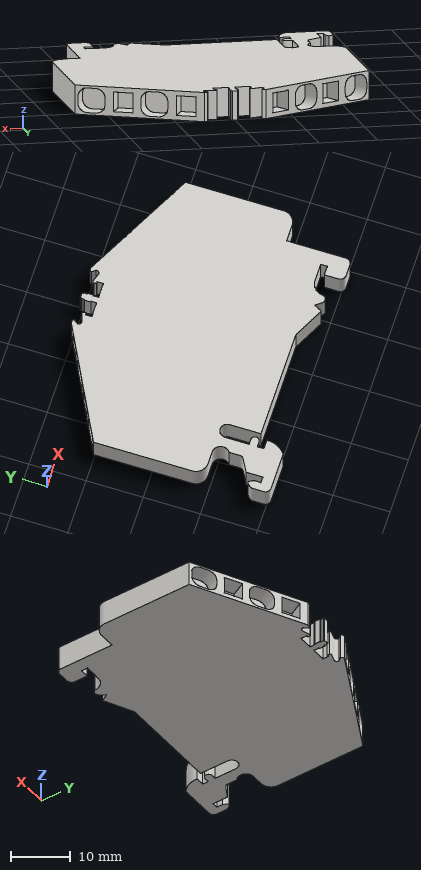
import cadquery as cq
import math

width = 50.2
height = 41.0
thickness = 5.0
half_width = width / 2

shoulder_y = 11.4
slope_start_y = 30.75
rail_y = 4.65
floor_y = 1.95

housing_radius = 2.1
crest_half_width = 5.25
overlap = 0.5

slope_dx = half_width - crest_half_width
slope_dy = height - slope_start_y
slope_length = math.hypot(slope_dx, slope_dy)

screw_size = 3.35
screw_heights = (39.55, 34.6)
wire_length = 4.65
wire_height = 4.2
wire_radius = 1.6
wire_heights = (37.05, 32.1)
opening_depth = 3.0

block_left = -15.1
block_right = 20.0
neck_right = -17.5
foot_radius = 1.0
slot_radius = (block_left - neck_right) / 2


def start(x, y):
    """Begin an outline on the lower face of the part."""
    return cq.Workplane("XY", origin=(0, 0, -thickness / 2)).moveTo(x, y)


def finish(outline):
    """Close an outline and give it the full thickness."""
    return outline.close().extrude(thickness)


def mirrored(solid):
    """Join a solid with its mirror image about the YZ plane."""
    return solid.union(solid.mirror("YZ"))


def round_edges(solid, radius, points):
    """Round the edges along Z that pass through the given points."""
    for x, y in points:
        solid = solid.edges(cq.selectors.NearestToPointSelector((x, y, 0))).fillet(radius)
    return solid


def make_housing():
    outline = start(-half_width, shoulder_y).polyline(
        [
            (half_width, shoulder_y),
            (half_width, slope_start_y),
            (crest_half_width, height),
            (-crest_half_width, height),
            (-half_width, slope_start_y),
        ],
        includeCurrent=True,
    )
    lower_corners = [(-half_width, shoulder_y), (half_width, shoulder_y)]
    return round_edges(finish(outline), housing_radius, lower_corners)


def make_crest_gap():
    """Right half of the gap between the centre post and the snap lip."""
    gap_floor_y = 38.1
    gap_top_y = height + overlap
    post_tip = 0.45
    post_tip_y = 40.75
    post_shoulder = 0.6
    post_shoulder_y = 40.6
    post_root = 0.55
    post_barb = 0.7
    barb_top_y = 40.2
    barb_bottom_y = 39.05
    lip_root = 3.15
    lip_edge = 2.8
    lip_bottom_y = 39.2
    crest_tip_x = 4.6
    crest_flat_x = 4.9
    outline = (
        start(post_tip, gap_top_y)
        .lineTo(post_tip, post_tip_y)
        .lineTo(post_shoulder, post_shoulder_y)
        .lineTo(post_root, barb_top_y)
        .lineTo(post_barb, barb_top_y)
        .lineTo(post_barb, barb_bottom_y)
        .lineTo(post_root, barb_bottom_y)
        .lineTo(post_root, gap_floor_y)
        .lineTo(lip_root, gap_floor_y)
        .lineTo(lip_root, lip_bottom_y)
        .lineTo(lip_edge, lip_bottom_y)
        .lineTo(lip_edge, 39.65)
        .threePointArc((2.9, 39.8), (lip_root, 39.85))
        .lineTo(4.55, 39.4)
        .threePointArc((5.0, 39.55), (5.1, 40.0))
        .lineTo(crest_tip_x, 40.6)
        .threePointArc((4.65, 40.85), (crest_flat_x, height))
        .lineTo(crest_flat_x, gap_top_y)
    )
    return finish(outline)


def make_rail_block():
    """Block under the housing with the beaded pad and the right foot."""
    pad_start_x = 3.95
    pad_tip_x = 9.4
    groove_x = 10.15
    groove_y = 3.3
    pad_right = 12.3
    bead_left = 10.8
    bead_y = 2.45
    foot_left = 15.9
    foot_top_y = 3.5
    relief_right = 17.55
    relief_radius = rail_y - bead_y
    arc_offset = relief_radius * (1 - math.sqrt(0.5))
    outline = (
        start(block_left, shoulder_y)
        .lineTo(block_left, rail_y)
        .lineTo(pad_start_x, rail_y)
        .lineTo(pad_tip_x, floor_y)
        .lineTo(groove_x, groove_y)
        .lineTo(bead_left, bead_y)
        .threePointArc(((bead_left + pad_right) / 2, floor_y), (pad_right, bead_y))
        .threePointArc(
            (pad_right + arc_offset, rail_y - arc_offset),
            (pad_right + relief_radius, rail_y),
        )
        .lineTo(relief_right, rail_y)
        .lineTo(relief_right, foot_top_y)
        .lineTo(foot_left, foot_top_y)
        .lineTo(foot_left, 0)
        .lineTo(block_right, 0)
        .lineTo(block_right, shoulder_y)
    )
    return round_edges(finish(outline), foot_radius, [(foot_left, 0), (block_right, 0)])


def make_hook_foot():
    """Flexible left foot with its hook, latch nub and the slot beside it."""
    neck_left = -20.0
    neck_top_y = 8.7
    neck_base_y = 6.35
    neck_radius = 0.85
    notch_right = -22.6
    notch_top_y = 4.85
    notch_left = -23.65
    toe_x = -15.9
    toe_y = 2.7
    nub_bottom_y = 4.5
    nub_top_y = 5.95
    nub_radius = (nub_top_y - nub_bottom_y) / 2
    nub_centre_x = toe_x - nub_radius
    latch_y = 3.4
    hook_peak = (-24.15, 4.05)
    hook_inner_y = 3.15
    hook_outer_y = 3.0
    shoulder_end_x = -20.65
    root_y = shoulder_y + overlap
    outline = (
        start(shoulder_end_x, root_y)
        .lineTo(shoulder_end_x, shoulder_y)
        .threePointArc((-19.35, 9.85), (neck_left, neck_top_y))
        .lineTo(neck_left, neck_base_y)
        .lineTo(notch_right, notch_top_y)
        .lineTo(notch_right, floor_y)
        .lineTo(notch_left, floor_y)
        .lineTo(notch_left, hook_inner_y)
        .lineTo(*hook_peak)
        .threePointArc((-24.75, 3.65), (-half_width, hook_outer_y))
        .lineTo(-half_width, 0)
        .lineTo(neck_right, 0)
        .threePointArc((-16.3, 1.4), (toe_x, toe_y))
        .lineTo(toe_x, latch_y)
        .lineTo(neck_right, latch_y)
        .lineTo(neck_right, nub_bottom_y)
        .lineTo(nub_centre_x, nub_bottom_y)
        .threePointArc(
            (toe_x, nub_bottom_y + nub_radius),
            (nub_centre_x, nub_top_y),
        )
        .lineTo(neck_right, nub_top_y)
        .lineTo(neck_right, shoulder_y - slot_radius)
        .threePointArc(
            (neck_right + slot_radius, shoulder_y),
            (block_left, shoulder_y - slot_radius),
        )
        .lineTo(block_left, root_y)
    )
    foot = round_edges(finish(outline), foot_radius, [(-half_width, 0)])
    return round_edges(foot, neck_radius, [(neck_left, neck_base_y)])


def make_flank_opening(y, section):
    """Opening cut square into the left flank, centred at height y."""
    x = -half_width + (y - slope_start_y) * slope_dx / slope_dy
    flank = cq.Plane(
        origin=(x, y, 0),
        xDir=(slope_dx / slope_length, slope_dy / slope_length, 0),
        normal=(-slope_dy / slope_length, slope_dx / slope_length, 0),
    )
    return cq.Workplane(flank).placeSketch(section).extrude(-opening_depth)


screw_section = cq.Sketch().rect(screw_size, screw_size)
wire_section = cq.Sketch().rect(wire_length, wire_height).vertices().fillet(wire_radius)

result = make_housing().cut(mirrored(make_crest_gap()))
result = result.union(make_rail_block()).union(make_hook_foot())

for opening_y in screw_heights:
    result = result.cut(mirrored(make_flank_opening(opening_y, screw_section)))
for opening_y in wire_heights:
    result = result.cut(mirrored(make_flank_opening(opening_y, wire_section)))